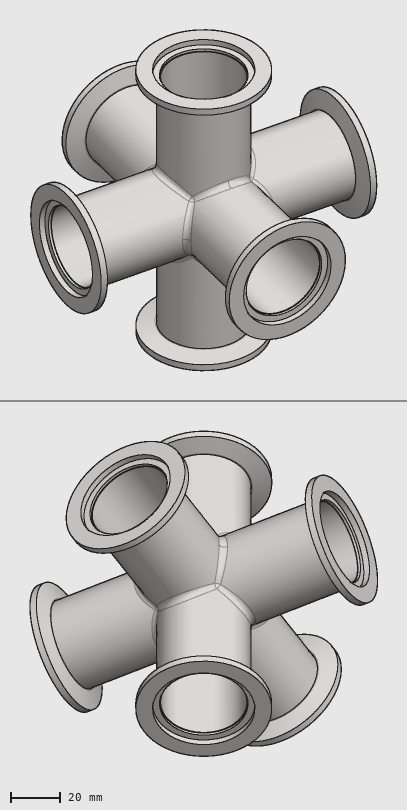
import cadquery as cq

SPAN = 130.0

TUBE_OUTER_D = 38.1
TUBE_BORE_D = 34.8
CROTCH_FILLET = 2.5

FLANGE_D = 54.9
RIM_THICKNESS = 3.0
FLANGE_THICKNESS = 5.1
BACK_D = 39.3
RECESS_D = 41.2
RECESS_DEPTH = 2.6
FLANGE_BORE_D = 35.6
SOCKET_D = 38.4
SHOULDER_THICKNESS = 1.2

FACE = SPAN / 2
RIM_BACK = FACE - RIM_THICKNESS
FLANGE_BACK = FACE - FLANGE_THICKNESS
RECESS_FLOOR = FACE - RECESS_DEPTH
TUBE_END = RECESS_FLOOR - SHOULDER_THICKNESS

ARM_DIRECTIONS = [
    (1, 0, 0),
    (-1, 0, 0),
    (0, 1, 0),
    (0, -1, 0),
    (0, 0, 1),
    (0, 0, -1),
]


def crossing_cylinders(diameter):
    """Three equal cylinders along X, Y and Z, joined where they cross at the origin."""
    along_x, along_y, along_z = [
        cq.Workplane(plane).circle(diameter / 2).extrude(TUBE_END, both=True)
        for plane in ("YZ", "XZ", "XY")
    ]
    return along_x.union(along_y).union(along_z)


def make_cross():
    """Six-way tube cross: filleted outside, bored through along all three axes."""
    outside = crossing_cylinders(TUBE_OUTER_D)
    outside = outside.edges("%ELLIPSE").fillet(CROTCH_FILLET)
    return outside.cut(crossing_cylinders(TUBE_BORE_D))


def make_flange(direction):
    """Turned flange, revolved about the arm that points along the direction."""
    radial = (direction[1], direction[2], direction[0])
    normal = cq.Vector(radial).cross(cq.Vector(direction))
    arm_plane = cq.Plane(origin=(0, 0, 0), xDir=radial, normal=normal)
    section = [
        (RECESS_D / 2, FACE),
        (FLANGE_D / 2, FACE),
        (FLANGE_D / 2, RIM_BACK),
        (BACK_D / 2, FLANGE_BACK),
        (SOCKET_D / 2, FLANGE_BACK),
        (SOCKET_D / 2, TUBE_END),
        (FLANGE_BORE_D / 2, TUBE_END),
        (FLANGE_BORE_D / 2, RECESS_FLOOR),
        (RECESS_D / 2, RECESS_FLOOR),
    ]
    return cq.Workplane(arm_plane).polyline(section).close().revolve(360, (0, 0), (0, 1))


cross = make_cross()
flanges = [make_flange(direction) for direction in ARM_DIRECTIONS]

result = cq.Compound.makeCompound([cross.val(), *[flange.val() for flange in flanges]])